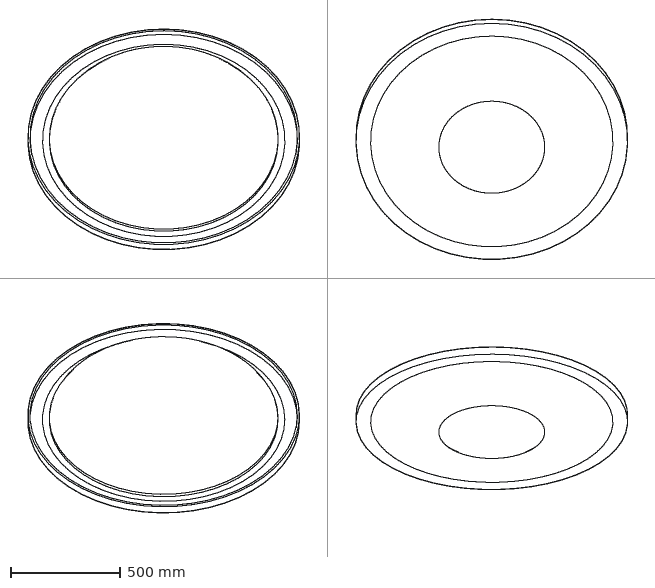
import cadquery as cq

outer_radius = 620.0
total_height = 245.0

lip_width = 10.0
lip_top = 92.0
floor_top = 65.0
floor_bottom = 53.0
plate_radius = 554.0

foot_radius = 242.0
flare_top_radius = 372.0
flare_mid_radius = 284.0
flare_mid_height = 34.0

dome_radius = 523.0
dome_edge_top = 80.0
edge_direction = (-0.4, 0.9)
apex_direction = (-1, 0)
crown_points = [
    (509.0, 107.0),
    (464.0, 151.0),
    (366.0, 201.0),
    (260.0, 227.0),
]


def make_frame():
    """L-shaped section turned around Z."""
    lip_inner_radius = outer_radius - lip_width
    return (
        cq.Workplane("XZ")
        .moveTo(plate_radius, floor_bottom)
        .lineTo(outer_radius, floor_bottom)
        .lineTo(outer_radius, lip_top)
        .lineTo(lip_inner_radius, lip_top)
        .lineTo(lip_inner_radius, floor_top)
        .lineTo(plate_radius, floor_top)
        .close()
        .revolve(360, (0, 0), (0, 1))
    )


def make_base():
    """Plate that fills the frame opening, flaring inwards to the foot."""
    return (
        cq.Workplane("XZ")
        .lineTo(foot_radius, 0)
        .threePointArc((flare_mid_radius, flare_mid_height), (flare_top_radius, floor_bottom))
        .lineTo(plate_radius, floor_bottom)
        .lineTo(plate_radius, floor_top)
        .lineTo(0, floor_top)
        .close()
        .revolve(360, (0, 0), (0, 1))
    )


def make_dome():
    """Crowned cover resting on the plate, level at its apex."""
    return (
        cq.Workplane("XZ")
        .moveTo(0, floor_top)
        .lineTo(dome_radius, floor_top)
        .lineTo(dome_radius, dome_edge_top)
        .spline(
            crown_points + [(0, total_height)],
            tangents=[edge_direction, apex_direction],
            includeCurrent=True,
            scale=False,
        )
        .close()
        .revolve(360, (0, 0), (0, 1))
    )


frame = make_frame()
base = make_base()
dome = make_dome()

result = cq.Compound.makeCompound([frame.val(), base.val(), dome.val()])